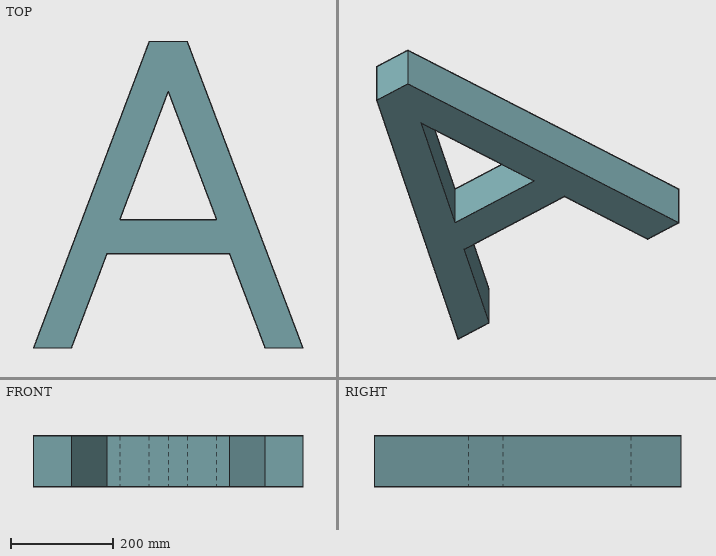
import cadquery as cq

width = 527.5
height = 600.0
thickness = 100.0
top_width = 74.5
foot_width = 74.5
bar_bottom = 184.0
bar_top = 251.5

half_width = width / 2
half_top = top_width / 2

leg_slope = (half_width - half_top) / height
inner_foot = half_width - foot_width
apex_height = inner_foot / leg_slope


def inner_half_width(y):
    """Distance from the centre line to the inner edge of a leg at height y."""
    return inner_foot - leg_slope * y


def extrude_outline(points):
    """Extrude a closed outline upward through the letter's thickness."""
    return cq.Workplane("XY").polyline(points).close().extrude(thickness)


body = extrude_outline([
    (-half_width, 0),
    (half_width, 0),
    (half_top, height),
    (-half_top, height),
])

gap_top = inner_half_width(bar_bottom)
foot_gap = extrude_outline([
    (-inner_foot, 0),
    (inner_foot, 0),
    (gap_top, bar_bottom),
    (-gap_top, bar_bottom),
])

window_half = inner_half_width(bar_top)
window = extrude_outline([
    (-window_half, bar_top),
    (window_half, bar_top),
    (0, apex_height),
])

result = body.cut(foot_gap).cut(window)